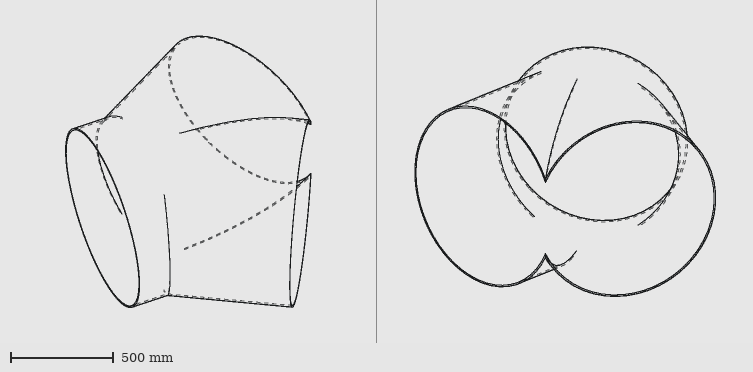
import cadquery as cq
import math

width = 1500.0
depth = 1101.0
outer_diameter = 915.0
inner_diameter = 899.0
branch_angle = 30.0

radius = outer_diameter / 2
angle = math.radians(branch_angle)

half_width = width / 2
tip_y = depth - half_width * math.tan(angle)
side_length = (half_width - radius) / math.sin(angle)
shoulder_y = tip_y - side_length * math.cos(angle)
crotch_y = shoulder_y + radius * math.tan(angle / 2)

branch_length = (half_width - radius * math.cos(angle)) / math.sin(angle)


def pipe_rod(start, direction, length, diameter):
    """Solid cylinder along an axis in the XY plane."""
    return cq.Workplane(cq.Solid.makeCylinder(diameter / 2, length, start, direction))


def plan_prism(points):
    """Plan outline extruded over the full pipe height."""
    return cq.Workplane("XY").polyline(points).close().extrude(radius, both=True)


def pipe_section(start, direction, length, plan):
    """Hollow pipe trimmed to the mitre lines of its plan outline."""
    outer = pipe_rod(start, direction, length, outer_diameter)
    bore = pipe_rod(start, direction, length, inner_diameter)
    return outer.cut(bore).intersect(plan_prism(plan))


def branch(side):
    """Branch on the +X (side = 1) or -X (side = -1) half."""
    direction = cq.Vector(side * math.sin(angle), math.cos(angle), 0)
    start = cq.Vector(0, crotch_y, 0) - direction * radius
    plan = [
        (0, crotch_y),
        (side * radius, shoulder_y),
        (side * half_width, tip_y),
        (0, depth),
    ]
    return pipe_section(start, direction, branch_length + radius, plan)


inlet_plan = [
    (-radius, 0),
    (radius, 0),
    (radius, shoulder_y),
    (0, crotch_y),
    (-radius, shoulder_y),
]
result = pipe_section(cq.Vector(0, 0, 0), cq.Vector(0, 1, 0), crotch_y, inlet_plan)
for side in (-1, 1):
    result = result.union(branch(side))